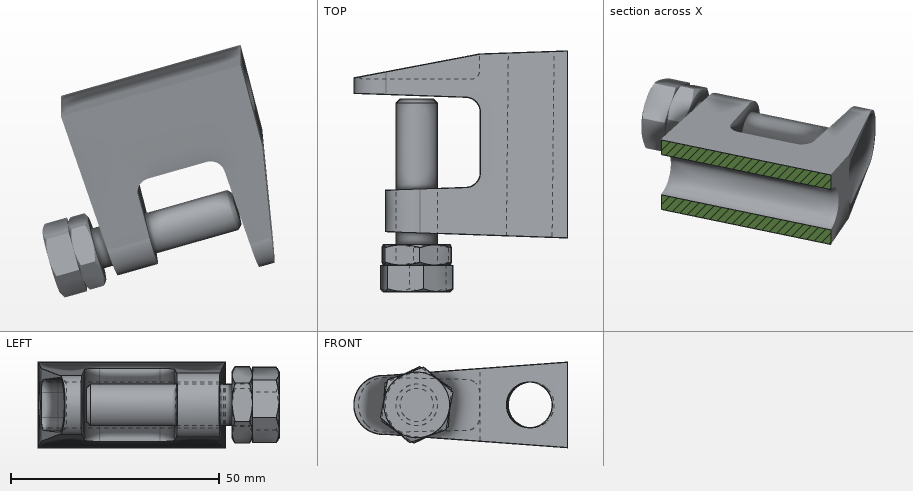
import cadquery as cq
import math


overall_length = 51.43
tip_x = -15.13
rear_x = tip_x + overall_length
rear_half_height = 22.5
rear_thickness = 20.62
draft = math.radians(2)
side_taper = math.radians(4.2)

throat_x = 15.25
throat_center_y = 0.5
throat_half_width = 10.7
throat_radius = 3.5

tip_outer_y = 16.0
kink_x = 15.2
tip_arc_end_x = -7.42
boss_x = -7.55
boss_arc_end_x = 0.75

cross_hole_diameter = 11.0
cross_hole_x = 27.05
cross_hole_tilt = 0.6

pocket_end_x = 15.1
pocket_end_half_width = 6.05
pocket_tip_lip = 0.5
pocket_floor_y = 15.7
pocket_corner_radius = 3.1
pocket_floor_radius = 2.0

shank_diameter = 10.0
shank_length = 40.0
shank_chamfer = 1.0
across_flats = 16.0
hex_face_diameter = 15.8
hex_chamfer_angle = math.radians(30)
head_height = 6.4
nut_height = 5.0
head_angle = 19.5
nut_angle = 25.5
overall_width = 57.96
head_y = rear_half_height - overall_width
nut_y = head_y + head_height
shank_end_y = nut_y + shank_length


def drafted(y, from_x, to_x):
    """Y after following a face that rises by the draft angle from one X to another."""
    return y + (to_x - from_x) * math.tan(draft)


def half_thickness(x):
    """Half of the clamp thickness along Z at a given X."""
    return rear_thickness / 2 - (rear_x - x) * math.tan(side_taper)


def along_y(plan, start_y, end_y):
    """Extrude a closed outline in the XZ plane between two Y positions."""
    return plan.extrude(start_y - end_y).translate((0, start_y, 0))



def arm_plan(end_x, arc_end_x):
    """Tapered XZ outline closed at the front by a round end."""
    arc_end_z = half_thickness(arc_end_x)
    return (
        cq.Workplane("XZ")
        .moveTo(arc_end_x, arc_end_z)
        .threePointArc((end_x, 0), (arc_end_x, -arc_end_z))
        .lineTo(rear_x, -rear_thickness / 2)
        .lineTo(rear_x, rear_thickness / 2)
        .close()
    )


def clamp_profile():
    """C-shaped XY outline of the clamp, extruded over the full thickness."""
    throat_top = throat_center_y + throat_half_width
    throat_bottom = throat_center_y - throat_half_width
    profile = (
        cq.Workplane("XY")
        .moveTo(rear_x, rear_half_height)
        .lineTo(kink_x, drafted(rear_half_height, rear_x, kink_x))
        .lineTo(tip_x, tip_outer_y)
        .lineTo(tip_x, drafted(throat_top, tip_x, throat_x))
        .lineTo(throat_x, throat_top)
        .lineTo(throat_x, throat_bottom)
        .lineTo(boss_x, drafted(throat_bottom, throat_x, boss_x))
        .lineTo(boss_x, -drafted(rear_half_height, rear_x, boss_x))
        .lineTo(rear_x, -rear_half_height)
        .close()
        .extrude(rear_thickness / 2, both=True)
    )
    throat_box = cq.selectors.BoxSelector(
        (throat_x - throat_radius, throat_bottom - throat_radius, -rear_thickness),
        (throat_x + throat_radius, throat_top + throat_radius, rear_thickness),
    )
    return profile.edges("|Z").edges(throat_box).fillet(throat_radius)


def relief_pocket():
    """Tool for the pocket, which widens toward the tip and follows its round end."""
    tip_radius = half_thickness(tip_arc_end_x)
    tip_center_x = tip_x + tip_radius
    pocket_tip_radius = tip_radius - pocket_tip_lip
    pocket = along_y(
        cq.Workplane("XZ")
        .moveTo(tip_center_x, pocket_tip_radius)
        .threePointArc((tip_center_x - pocket_tip_radius, 0), (tip_center_x, -pocket_tip_radius))
        .lineTo(pocket_end_x, -pocket_end_half_width)
        .lineTo(pocket_end_x, pocket_end_half_width)
        .close(),
        pocket_floor_y,
        rear_half_height,
    )
    pocket = pocket.faces(">X").edges("|Y").fillet(pocket_corner_radius)
    return pocket.faces("<Y").edges().fillet(pocket_floor_radius)


def cross_hole():
    """Tool for the slightly tilted through hole, which starts at the front face."""
    hole = along_y(
        cq.Workplane("XZ").circle(cross_hole_diameter / 2),
        -rear_half_height,
        2 * rear_half_height,
    )
    pivot = (0, -rear_half_height, 0)
    hole = hole.rotate(pivot, (0, -rear_half_height, 1), -cross_hole_tilt)
    return hole.translate((cross_hole_x, 0, 0))


def make_clamp():
    upper = along_y(arm_plan(tip_x, tip_arc_end_x), 0, rear_half_height)
    lower = along_y(arm_plan(boss_x, boss_arc_end_x), -rear_half_height, 0)
    bolt_hole = along_y(cq.Workplane("XZ").circle(shank_diameter / 2), -rear_half_height, 0)
    body = clamp_profile().intersect(upper.union(lower)).clean()
    return body.cut(relief_pocket()).cut(cross_hole()).cut(bolt_hole)



def hex_prism(start_y, height, angle, chamfer_far_end):
    """Hexagon along Y with its corners turned off at the -Y end, and at the +Y end if asked."""
    corner_radius = across_flats / 2 / math.cos(math.pi / 6)
    face_radius = hex_face_diameter / 2
    chamfer_depth = (corner_radius - face_radius) * math.tan(hex_chamfer_angle)
    end_y = start_y + height
    prism = along_y(cq.Workplane("XZ").polygon(6, 2 * corner_radius), start_y, end_y)
    prism = prism.rotate((0, 0, 0), (0, 1, 0), -angle)

    turned = (
        cq.Workplane("XY")
        .moveTo(0, start_y)
        .lineTo(face_radius, start_y)
        .lineTo(corner_radius, start_y + chamfer_depth)
    )
    if chamfer_far_end:
        turned = turned.lineTo(corner_radius, end_y - chamfer_depth).lineTo(face_radius, end_y)
    else:
        turned = turned.lineTo(corner_radius, end_y)
    turned = turned.lineTo(0, end_y).close().revolve(360, (0, 0), (0, 1))
    return prism.intersect(turned)


def make_bolt():
    shank = along_y(cq.Workplane("XZ").circle(shank_diameter / 2), nut_y, shank_end_y)
    shank = shank.faces(">Y").chamfer(shank_chamfer)
    return hex_prism(head_y, head_height, head_angle, False).union(shank)


def make_nut():
    bore = along_y(cq.Workplane("XZ").circle(shank_diameter / 2), nut_y, nut_y + nut_height)
    return hex_prism(nut_y, nut_height, nut_angle, True).cut(bore)


clamp = make_clamp()
bolt = make_bolt()
nut = make_nut()

result = cq.Compound.makeCompound([clamp.val(), bolt.val(), nut.val()])